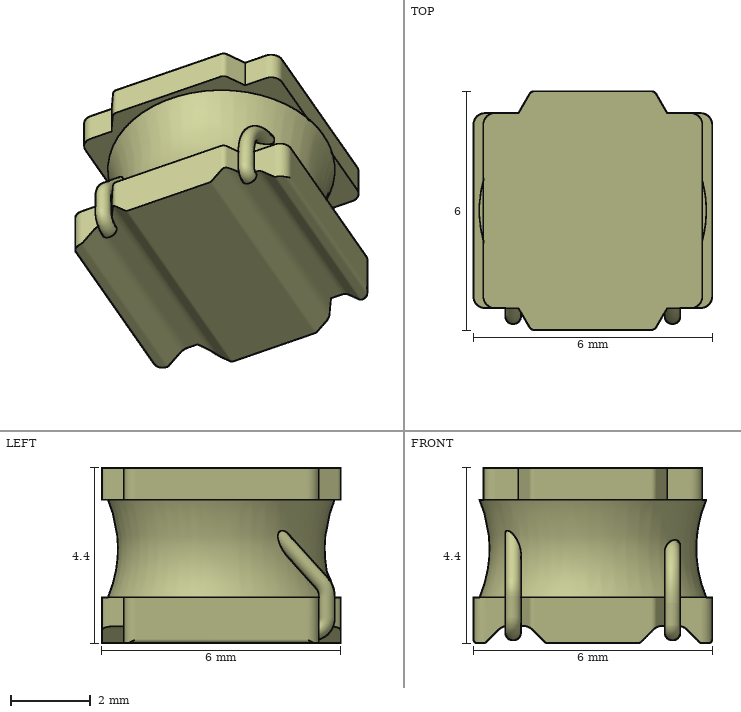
import cadquery as cq
import math

TOTAL_HEIGHT = 4.4
BASE_HEIGHT = 1.15
TOP_FLANGE_THICKNESS = 0.8
TOP_FLANGE_BOTTOM = TOTAL_HEIGHT - TOP_FLANGE_THICKNESS

BASE_LENGTH = 6.0
TOP_LENGTH = 5.5
FLANGE_WIDTH = 4.9
WIDTH_OVER_TABS = 6.0
TAB_TIP_WIDTH = 3.1
TAB_SIDE_ANGLE = 30.0
CORNER_RADIUS = 0.3
TAB_TIP_RADIUS = 0.15
BOTTOM_EDGE_RADIUS = 0.1

WINDING_END_RADIUS = 2.85
WINDING_WAIST_RADIUS = 2.6

GROOVE_CENTER = 1.94
GROOVE_MOUTH_WIDTH = 1.52
GROOVE_DEPTH = 0.43
GROOVE_ROOF_RADIUS = 0.3

WIRE_RADIUS = 0.2
WIRE_X = 2.0
WIRE_Y = -FLANGE_WIDTH / 2 - WIRE_RADIUS
HOOK_AXIS_HEIGHT = 0.27
LEFT_HOOK_RADIUS = 0.36
LEFT_BEND_START = 1.18
LEFT_BEND_RADIUS = 0.5
LEFT_BEND_ANGLE = 42.0
LEFT_SLOPE_LENGTH = 2.2
RIGHT_HOOK_RADIUS = 0.18
RIGHT_BEND_START = 1.01
RIGHT_BEND_RADIUS = 1.44
RIGHT_BEND_ANGLE = 80.0
RIGHT_SLOPE_LENGTH = 0.0


def flange(length, bottom, height):
    """Rounded plate with a tapered tab on both Y sides."""
    tab_length = (WIDTH_OVER_TABS - FLANGE_WIDTH) / 2
    tab_root_width = TAB_TIP_WIDTH + 2 * tab_length * math.tan(math.radians(TAB_SIDE_ANGLE))
    plate = cq.Workplane("XY").box(length, FLANGE_WIDTH, height, centered=(True, True, False))
    plate = plate.edges("|Z").fillet(CORNER_RADIUS)
    tip_x = TAB_TIP_WIDTH / 2
    tip_y = WIDTH_OVER_TABS / 2
    root_x = tab_root_width / 2
    root_y = FLANGE_WIDTH / 2
    tabs = (
        cq.Workplane("XY")
        .polyline([
            (-tip_x, tip_y), (tip_x, tip_y), (root_x, root_y), (root_x, -root_y),
            (tip_x, -tip_y), (-tip_x, -tip_y), (-root_x, -root_y), (-root_x, root_y),
        ])
        .close()
        .extrude(height)
    )
    tabs = tabs.edges("|Z and (>Y or <Y)").fillet(TAB_TIP_RADIUS)
    return plate.union(tabs).translate((0, 0, bottom))


def groove(center_x):
    """Cutter for one groove along Y, with a rounded roof."""
    mouth_x = GROOVE_MOUTH_WIDTH / 2
    roof_x = mouth_x - GROOVE_DEPTH
    cutter = (
        cq.Workplane("XZ")
        .polyline([(-mouth_x, 0), (-roof_x, GROOVE_DEPTH), (roof_x, GROOVE_DEPTH), (mouth_x, 0)])
        .close()
        .extrude(WIDTH_OVER_TABS / 2, both=True)
    )
    return cutter.edges("|Y and >Z").fillet(GROOVE_ROOF_RADIUS).translate((center_x, 0, 0))


def make_base():
    """Lower flange whose grooved underside has its edges along Y rounded."""
    section = cq.Workplane("XY").box(
        BASE_LENGTH, WIDTH_OVER_TABS, BASE_HEIGHT, centered=(True, True, False)
    )
    for side in (-1, 1):
        section = section.cut(groove(side * GROOVE_CENTER))
    section = section.faces("<Z").edges("|Y").fillet(BOTTOM_EDGE_RADIUS)
    return flange(BASE_LENGTH, 0, BASE_HEIGHT).intersect(section)


def make_winding():
    """Body of revolution whose side is an arc, narrowest at mid height."""
    middle = (BASE_HEIGHT + TOP_FLANGE_BOTTOM) / 2
    return (
        cq.Workplane("XZ")
        .moveTo(0, BASE_HEIGHT)
        .lineTo(WINDING_END_RADIUS, BASE_HEIGHT)
        .threePointArc((WINDING_WAIST_RADIUS, middle), (WINDING_END_RADIUS, TOP_FLANGE_BOTTOM))
        .lineTo(0, TOP_FLANGE_BOTTOM)
        .close()
        .revolve(360, (0, 0, 0), (0, 1, 0))
    )


def wire(wire_x, hook_radius, bend_start, bend_radius, bend_angle, slope_length):
    """Round lead: quarter-turn hook, straight drop, bend and optional sloped run."""
    half = math.radians(bend_angle / 2)
    full = math.radians(bend_angle)

    def on_bend(angle):
        return (
            WIRE_Y + bend_radius * (1 - math.cos(angle)),
            bend_start + bend_radius * math.sin(angle),
        )

    hook_top = HOOK_AXIS_HEIGHT + hook_radius
    hook_end_y = WIRE_Y + hook_radius
    hook_mid = hook_radius * math.sqrt(0.5)
    path = (
        cq.Workplane("YZ", origin=(wire_x, 0, 0))
        .moveTo(hook_end_y, HOOK_AXIS_HEIGHT)
        .threePointArc((hook_end_y - hook_mid, hook_top - hook_mid), (WIRE_Y, hook_top))
        .lineTo(WIRE_Y, bend_start)
        .threePointArc(on_bend(half), on_bend(full))
    )
    if slope_length > 0:
        path = path.line(slope_length * math.sin(full), slope_length * math.cos(full))
    return (
        cq.Workplane("XZ", origin=(wire_x, hook_end_y, HOOK_AXIS_HEIGHT))
        .circle(WIRE_RADIUS)
        .sweep(path)
    )


top_flange = flange(TOP_LENGTH, TOP_FLANGE_BOTTOM, TOP_FLANGE_THICKNESS)
left_wire = wire(
    -WIRE_X, LEFT_HOOK_RADIUS, LEFT_BEND_START,
    LEFT_BEND_RADIUS, LEFT_BEND_ANGLE, LEFT_SLOPE_LENGTH,
)
right_wire = wire(
    WIRE_X, RIGHT_HOOK_RADIUS, RIGHT_BEND_START,
    RIGHT_BEND_RADIUS, RIGHT_BEND_ANGLE, RIGHT_SLOPE_LENGTH,
)

result = make_base().union(make_winding()).union(top_flange).union(left_wire).union(right_wire)